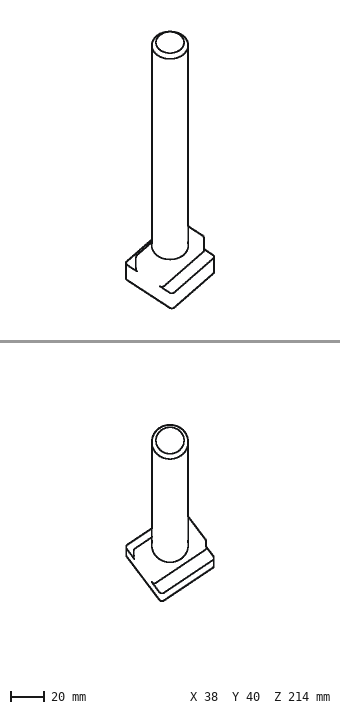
import cadquery as cq
import math

total_height = 214.0
head_width = 38.0
head_length = 40.0
flange_height = 14.0
neck_height = 13.0
shank_diameter = 22.0
edge_radius = 2.0
tip_chamfer = 2.5

neck_width = shank_diameter
shank_radius = shank_diameter / 2
head_height = flange_height + neck_height

taper_half_length = math.sqrt(shank_radius**2 - (shank_radius - edge_radius) ** 2)
taper_steps = 5
smallest_taper_share = 0.1


def make_flange():
    """Wide foot of the T-shaped head, with rounded vertical corners."""
    flange = cq.Workplane("XY").rect(head_width, head_length).extrude(flange_height)
    return flange.edges("|Z").fillet(edge_radius)


def make_neck_block(length):
    """Plain block of the neck, centred on the shank axis and `length` long in Y."""
    block = cq.Workplane("XY").workplane(offset=flange_height)
    return block.rect(neck_width, length).extrude(neck_height)


def rim_waste_section(y):
    """Sharp corner left outside the rim rounding at position y, on the +X rim."""
    radius = shank_radius - math.sqrt(shank_radius**2 - y**2)
    side = neck_width / 2
    diagonal = radius * math.sqrt(0.5)
    corner = cq.Vector(side, y, head_height)
    top = cq.Vector(side - radius, y, head_height)
    middle = cq.Vector(side - radius + diagonal, y, head_height - radius + diagonal)
    bottom = cq.Vector(side, y, head_height - radius)
    return cq.Wire.assembleEdges(
        [
            cq.Edge.makeLine(corner, top),
            cq.Edge.makeThreePointArc(top, middle, bottom),
            cq.Edge.makeLine(bottom, corner),
        ]
    )


def make_tapered_middle():
    """Stretch of the neck beside the shank, its rim rounding limited by the shank."""
    middle = make_neck_block(2 * taper_half_length)
    shares = [smallest_taper_share] + [(i + 1) / taper_steps for i in range(taper_steps)]
    sections = [rim_waste_section(taper_half_length * share) for share in shares]
    right_half = cq.Workplane(cq.Solid.makeLoft(sections))
    right = right_half.union(right_half.mirror("XZ"))
    return middle.cut(right).cut(right.mirror("YZ"))


def make_neck():
    """Narrow part of the head, rounded at its corners and along its top rim."""
    neck = make_neck_block(head_length).edges("|Z or >Z").fillet(edge_radius)
    return neck.union(make_tapered_middle())


def make_shank():
    """Round shank standing on the neck, chamfered at its free end."""
    shank = cq.Workplane("XY").workplane(offset=head_height)
    shank = shank.circle(shank_radius).extrude(total_height - head_height)
    return shank.faces(">Z").edges().chamfer(tip_chamfer)


result = make_flange().union(make_neck()).union(make_shank())